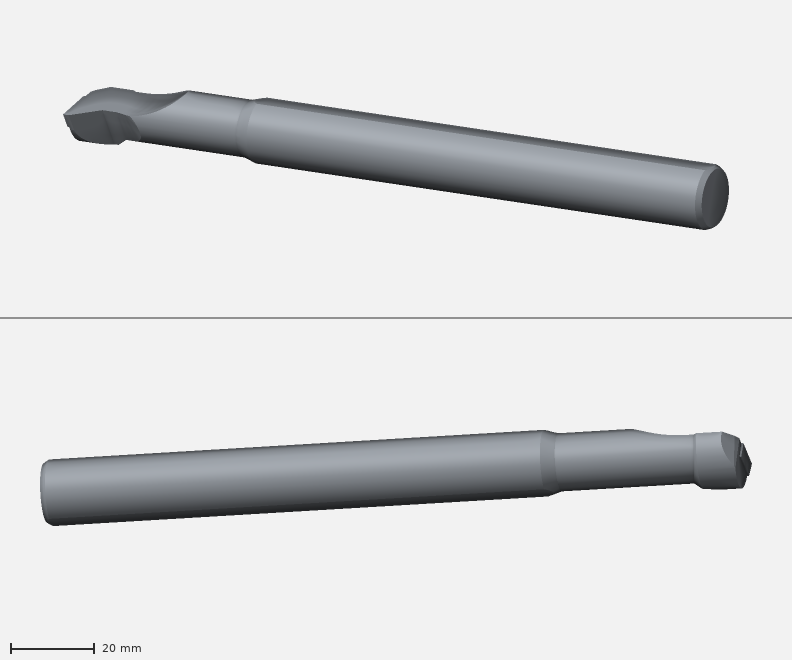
import cadquery as cq
import math

length = 170.0
shank_diameter = 16.0
flat_to_flat = 15.0
end_chamfer_length = 1.4
end_chamfer_depth = 0.8
neck_diameter = 14.0
neck_end = 44.7
flare_length = 3.4

head_radius = 8.5
head_offset = -1.0
head_front = 0.5
head_front_lean = 4.0
head_cone_start = 10.2
head_cone_end = 12.4
head_cone_radius = 6.8
corner_start = 3.0
facet_depth = 0.8
facet_width = 1.4

rake_angle = 9.0
rake_height = 1.9
scoop_center = 1.5
scoop_floor_radius = 13.0
scoop_blend_radius = 21.0
scoop_depth = 10.2

insert_thickness = 3.7
tip_y = -10.5
tip_width = 1.5
seat_front = 0.3
seat_start = -1.7
seat_back = 6.0
insert_back = 10.0

side_y = -5.5
flank_end = 8.0
side_end = 11.7
side_runout = (19.5, -9.0)
side_bulge = (16.0, -6.8)
end_relief = 0.11
side_relief = 0.27

clearance = 34.0


def on_rake_face(shape):
    """Move a shape made about the XY plane so that plane becomes the rake face."""
    return shape.rotate((0, 0, 0), (1, 0, 0), rake_angle).translate((0, 0, rake_height))


def make_bar():
    """Neck, flare and shank turned in one piece, with flats on the shank."""
    neck_radius = neck_diameter / 2
    shank_radius = shank_diameter / 2
    turned = (
        cq.Workplane("XY")
        .moveTo(head_front, 0)
        .lineTo(head_front, neck_radius)
        .lineTo(neck_end, neck_radius)
        .lineTo(neck_end + flare_length, shank_radius)
        .lineTo(length - end_chamfer_length, shank_radius)
        .lineTo(length, shank_radius - end_chamfer_depth)
        .lineTo(length, 0)
        .close()
        .revolve(360, (0, 0, 0), (1, 0, 0))
    )
    between_flats = cq.Workplane("XY").box(2 * length, clearance, flat_to_flat)
    return turned.intersect(between_flats)


def make_head():
    """Offset cylinder, coned down behind to meet the neck."""
    return (
        cq.Workplane("XY")
        .moveTo(head_front, head_offset)
        .lineTo(head_front, head_offset + head_radius)
        .lineTo(head_cone_start, head_offset + head_radius)
        .lineTo(head_cone_end, head_offset + head_cone_radius)
        .lineTo(head_cone_end, head_offset)
        .close()
        .revolve(360, (0, head_offset, 0), (1, head_offset, 0))
    )


def make_corner_cut():
    """Wedge that takes off the corner opposite the insert tip: a narrow facet, then 45 degrees."""
    facet_x = head_front + facet_depth
    facet_y = corner_start + facet_width
    wedge = (
        cq.Workplane("XY")
        .moveTo(head_front, corner_start)
        .lineTo(facet_x, facet_y)
        .lineTo(facet_x + clearance, facet_y + clearance)
        .lineTo(head_front - clearance, facet_y + clearance)
        .lineTo(head_front - clearance, corner_start)
        .close()
        .extrude(clearance, both=True)
    )
    return on_rake_face(wedge)


def make_end_cut():
    """Block in front of the head, leaning back so the head's end slopes away below."""
    block = cq.Workplane("XY").box(clearance, 2 * clearance, 2 * clearance)
    return (
        block.translate((-clearance / 2, 0, 0))
        .rotate((0, 0, 0), (0, 1, 0), -head_front_lean)
        .translate((head_front, 0, rake_height))
    )


def make_scoop():
    """Round cutter shape: flat floor on the rake face, rising in an arc around it."""
    rise_angle = math.acos(1 - scoop_depth / scoop_blend_radius)
    half_angle = rise_angle / 2

    def blend_point(angle):
        return (
            scoop_floor_radius + scoop_blend_radius * math.sin(angle),
            scoop_blend_radius * (1 - math.cos(angle)),
        )

    scoop = (
        cq.Workplane("XZ")
        .moveTo(0, 0)
        .lineTo(scoop_floor_radius, 0)
        .threePointArc(blend_point(half_angle), blend_point(rise_angle))
        .lineTo(0, scoop_depth)
        .close()
        .revolve(360, (0, 0, 0), (0, 1, 0))
        .translate((scoop_center, 0, 0))
    )
    return on_rake_face(scoop)


def make_relieved_envelope():
    """Leaning prism that bounds the end, tip and front side of head and insert."""
    outline = (
        cq.Workplane("XY")
        .moveTo(0, clearance)
        .lineTo(0, tip_y)
        .lineTo(tip_width, tip_y)
        .lineTo(flank_end, side_y)
        .lineTo(side_end, side_y)
        .threePointArc(side_bulge, side_runout)
        .lineTo(2 * clearance, side_runout[1])
        .lineTo(2 * clearance, clearance)
        .close()
    )
    rise = cq.Vector(-end_relief, -side_relief, 1)
    top_wire = outline.wire().val().translate(rise * clearance)
    prism = cq.Solid.extrudeLinear(top_wire, [], rise * (-2 * clearance))
    return on_rake_face(cq.Workplane(prism))


def make_insert_block():
    """Seat-shaped slab under the rake face, reaching past the relieved sides."""
    slab = (
        cq.Workplane("XY")
        .moveTo(seat_start, -clearance)
        .lineTo(insert_back, -clearance)
        .lineTo(insert_back, seat_back)
        .lineTo(0, seat_front)
        .lineTo(seat_start, seat_front)
        .close()
        .extrude(-insert_thickness)
    )
    return on_rake_face(slab)


def make_front_zone():
    """Block around the head and neck, leaving out the flare and shank."""
    return cq.Workplane("XY").box(2 * side_runout[0], 2 * clearance, 2 * clearance)


envelope = make_relieved_envelope()
insert_block = make_insert_block()
side_waste = make_front_zone().cut(envelope)

holder = (
    make_bar()
    .union(make_head())
    .cut(make_scoop())
    .cut(make_end_cut())
    .cut(make_corner_cut())
    .cut(side_waste)
    .cut(insert_block)
)
insert = insert_block.intersect(envelope)

result = cq.Compound.makeCompound([holder.val(), insert.val()])